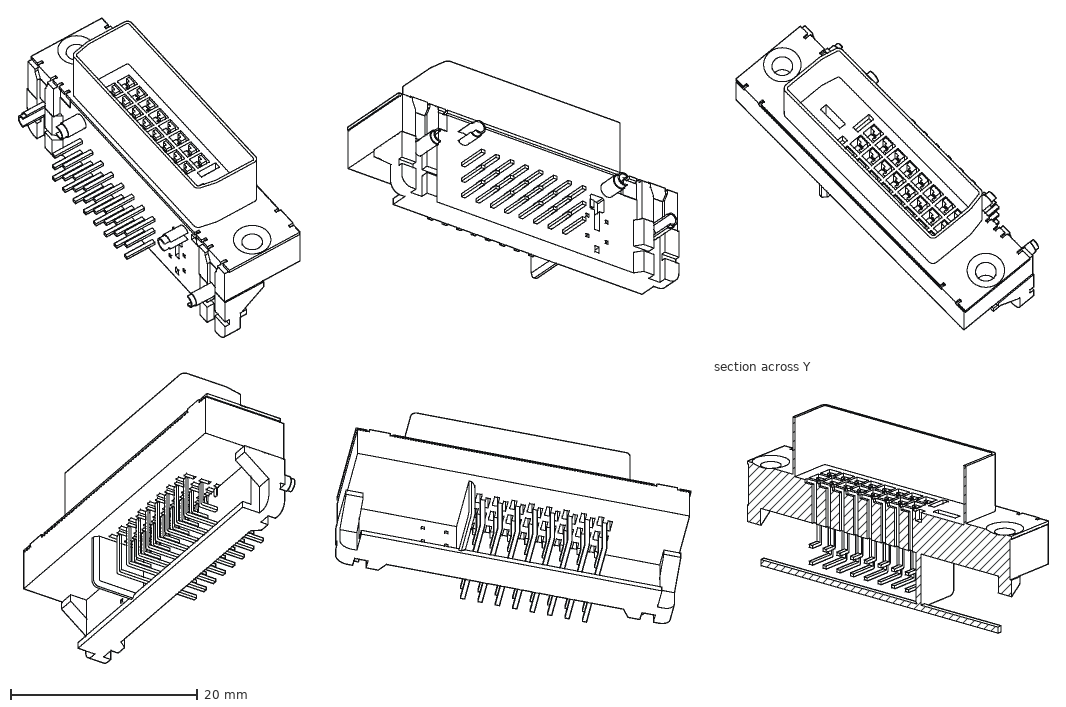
import cadquery as cq


TOTAL_LENGTH = 36.83
TOTAL_HEIGHT = 18.05
BACK_Y = 9.98
FACE_Y = 0.92
TIP_Y = -2.73
BLOCK_BOTTOM_Z = 6.52
BLOCK_TOP_Z = 11.15
BLOCK_LENGTH = 36.55
PLATE_THICKNESS = 0.35
PLATE_TOP_Z = BLOCK_TOP_Z + PLATE_THICKNESS
PLATE_FRONT_Y = 0.55
PLATE_BACK_Y = 9.87

WALL_BACK_Y = 3.1
FOOT_BACK_Y = 4.15
FOOT_HEIGHT = 0.75

HALF_LENGTH = TOTAL_LENGTH / 2
CHANNEL_X = 15.8
CHANNEL_WIDTH = 1.47
CHANNEL_OUTER_X = CHANNEL_X + CHANNEL_WIDTH / 2
CHANNEL_INNER_X = CHANNEL_X - CHANNEL_WIDTH / 2
UPPER_LEG_INNER_X = 13.5
LOWER_LEG_FRONT_X = 13.75
LOWER_LEG_ROOT_X = 13.05
LEG_CORNER_RADIUS = 1.3
LEG_DEPTH = 2.03
GUSSET_DEPTH = 5.1
GUSSET_TOP_Z = 5.7
GUSSET_FOOT_Z = 3.35
LEG_SLOT_Z = (2.55, 3.3)
LEG_SLOT_DEPTH = 0.55
UPPER_LEG_Y = 0.05
STRIP_Y = 0.4

TAB_Y = 0.45
TAB_THICKNESS = 0.33
TAB_WIDTH = 2.3
TAB_TAPER_Z = (9.72, 10.75)
RELIEF_WIDTH = 0.3
RELIEF_DEPTH = 0.6
RELIEF_OFFSET = (TAB_WIDTH + RELIEF_WIDTH) / 2
SIDE_TAB_X = (11.7, UPPER_LEG_INNER_X)
SIDE_TAB_RELIEF_X = (12.08, 13.37)
SIDE_TAB_BOTTOM_Z = 9.17
SIDE_TAB_SETBACK = 0.07
SIDE_POCKET_DEPTH = 0.45
NOTCH_X = 10.9
NOTCH_TOP_Z = 9.98

SHROUD_HALF_LENGTH = 12.08
SHROUD_HALF_LENGTH_FRONT = 11.55
SHROUD_Y = (1.05, 8.9)
SHROUD_TAPER_Y = 3.43
SHROUD_WALL = 0.33
SHROUD_FLOOR_Z = 11.3
SHROUD_CORNER_RADIUS = 0.6
SHROUD_BEND_RADIUS = 1.85

SCREW_X = 16.3
SCREW_Y = 5.05
SCREW_DIAMETER = 2.2
SCREW_SINK_DIAMETER = 4.0
SCREW_SINK_DEPTH = 0.35
SCREW_HOLE_DEPTH = 3.7

PITCH = 1.9
COLUMNS = 8
ROWS = 3
CENTRE_COLUMN = 5
FIRST_ROW_Y = 3.13
COLUMN_X = [PITCH * (column - CENTRE_COLUMN) for column in range(COLUMNS)]
ROW_Y = [FIRST_ROW_Y + PITCH * row for row in range(ROWS)]
CELL = 1.55
CONTACT_SETBACK = 0.35
CONTACT_LEFT_GAP = 0.48
CONTACT_RIGHT_GAP = 0.55
CONTACT_BACK_BAR = 0.33
CONTACT_FRONT_BAR = 0.45
CONTACT_SLIT = 0.22
CONTACT_SLIT_DEPTH = 0.35
WIRE_WIDTH = 0.48
WIRE_THICKNESS_Y = 0.25
WIRE_THICKNESS_Z = 0.35
WIRE_BEND_RADIUS = 0.22

PEG_DIAMETER = 1.73
PEG_BORE = 1.18
PEG_TIP_DIAMETER = 1.5
PEG_X = 9.58
PEG_Z = 9.05
PEG_STEP_Y = -1.35
PEG_TIP_Y = -2.05
PEG_MOUTH = 1.1
LOCK_X = 15.4
LOCK_Z = 5.75
LOCK_STEP_Y = -2.2
LOCK_OPEN_X = 15.3

BLADE_X = 8.2
BLADE_SLOT_LENGTH = 3.05
BLADE_SLOT_WIDTH = 0.8
BLADE_SLOT_DEPTH = 3.7
LATCH_X = (5.1, 5.82)
LATCH_SLOTS_Y = ((2.0, 4.27), (5.8, 8.18))
LATCH_DEPTH = 1.1
KEY_POCKET_DEPTH = 1.1
KEY_HEAD_WIDTH = 1.75
KEY_HEAD_Z = (6.05, 7.85)
KEY_HEAD_BEVEL = 0.15
KEY_STEM_WIDTH = 0.65
KEY_STEM_BOTTOM_Z = 3.65
KEY_TONGUE_WIDTH = 0.55
KEY_TONGUE_BOTTOM_Z = 6.95
KEY_TONGUE_DEPTH = 0.2
SMALL_HOLE = 0.35
SMALL_HOLE_OFFSET = 1.3
SMALL_HOLES_Z = (2.58, 5.1)
LOW_HOLE_WIDTH = 0.55
LOW_HOLE_HEIGHT = 0.75
LOW_HOLE_Z = 1.3

FIN_BACK_Y = 9.15
FIN_BOTTOM_Z = 0.4
FIN_CORNER_RADIUS = 0.65
FIN_BEVEL = 0.45


def block(x, y, z):
    """Box spanning the given (low, high) pairs."""
    size = (x[1] - x[0], y[1] - y[0], z[1] - z[0])
    return cq.Workplane("XY").box(*size, centered=False).translate((x[0], y[0], z[0]))


def centred(middle, width):
    """The (low, high) pair of a width about its middle."""
    return (middle - width / 2, middle + width / 2)


def front_prism(points, y):
    """Prism of an X-Z outline between two Y values."""
    prism = cq.Workplane("XZ", origin=(0, y[0], 0)).polyline(points).close()
    return prism.extrude(y[0] - y[1])


def rod(x, z, diameter, y):
    """Cylinder along Y between two Y values."""
    return cq.Workplane("XZ", origin=(x, y[0], z)).circle(diameter / 2).extrude(y[0] - y[1])


def both_sides(solid):
    """The solid together with its mirror image across X = 0."""
    return solid.union(solid.mirror("YZ"))


def make_housing():
    half = BLOCK_LENGTH / 2
    upper = block((-half, half), (FACE_Y, BACK_Y), (BLOCK_BOTTOM_Z, BLOCK_TOP_Z))
    wall_x = (-CHANNEL_OUTER_X, CHANNEL_OUTER_X)
    wall = block(wall_x, (FACE_Y, WALL_BACK_Y), (0, BLOCK_BOTTOM_Z))
    foot = block(wall_x, (FACE_Y, FOOT_BACK_Y), (0, FOOT_HEIGHT))
    return upper.union(wall).union(foot)


def make_right_legs():
    upper_z = (BLOCK_BOTTOM_Z, BLOCK_TOP_Z)
    upper_outer = block((CHANNEL_OUTER_X, BLOCK_LENGTH / 2), (UPPER_LEG_Y, FACE_Y), upper_z)
    upper_inner = block((UPPER_LEG_INNER_X, CHANNEL_INNER_X), (UPPER_LEG_Y, FACE_Y), upper_z)
    strip = block((CHANNEL_INNER_X, CHANNEL_OUTER_X), (STRIP_Y, FACE_Y), upper_z)
    lower_outer = (
        cq.Workplane("YZ", origin=(CHANNEL_OUTER_X, 0, 0))
        .polyline([
            (0, 0),
            (LEG_DEPTH, 0),
            (LEG_DEPTH, GUSSET_FOOT_Z),
            (GUSSET_DEPTH, GUSSET_TOP_Z),
            (GUSSET_DEPTH, BLOCK_BOTTOM_Z),
            (0, BLOCK_BOTTOM_Z),
        ])
        .close()
        .extrude(HALF_LENGTH - CHANNEL_OUTER_X)
        .edges("|Y and >X and <Z")
        .fillet(LEG_CORNER_RADIUS)
    )
    lower_inner = (
        cq.Workplane("XY")
        .polyline([
            (CHANNEL_INNER_X, 0),
            (LOWER_LEG_FRONT_X, 0),
            (LOWER_LEG_ROOT_X, FACE_Y),
            (CHANNEL_INNER_X, FACE_Y),
        ])
        .close()
        .extrude(BLOCK_BOTTOM_Z)
    )
    outer_slot = block((CHANNEL_OUTER_X, HALF_LENGTH), (0, LEG_SLOT_DEPTH), LEG_SLOT_Z)
    inner_slot = block((LOWER_LEG_ROOT_X, CHANNEL_INNER_X), (0, FACE_Y), LEG_SLOT_Z)
    upper = upper_outer.union(upper_inner).union(strip)
    return upper.union(lower_outer.cut(outer_slot)).union(lower_inner.cut(inner_slot))


def tab_outline(width, top_z):
    """Tapered tab outline that ends at the channel width."""
    low_z, shoulder_z = TAB_TAPER_Z
    return [
        (CHANNEL_OUTER_X, low_z),
        (CHANNEL_X + width / 2, shoulder_z),
        (CHANNEL_X + width / 2, top_z),
        (CHANNEL_X - width / 2, top_z),
        (CHANNEL_X - width / 2, shoulder_z),
        (CHANNEL_INNER_X, low_z),
    ]


def make_plate():
    level = (BLOCK_TOP_Z, PLATE_TOP_Z)
    plate = block((-HALF_LENGTH, HALF_LENGTH), (PLATE_FRONT_Y, PLATE_BACK_Y), level)
    relief_x = [CHANNEL_X - RELIEF_OFFSET, CHANNEL_X + RELIEF_OFFSET]
    front_edge = (PLATE_FRONT_Y, PLATE_FRONT_Y + RELIEF_DEPTH)
    back_edge = (BACK_Y - RELIEF_DEPTH, BACK_Y)
    for x in relief_x:
        for edge in (front_edge, back_edge):
            plate = plate.cut(both_sides(block(centred(x, RELIEF_WIDTH), edge, level)))
    for x in SIDE_TAB_RELIEF_X:
        plate = plate.cut(both_sides(block(centred(x, RELIEF_WIDTH), front_edge, level)))

    tab_y = (TAB_Y, TAB_Y + TAB_THICKNESS)
    front_tab = front_prism(tab_outline(TAB_WIDTH, PLATE_TOP_Z), tab_y)
    back_tab = block(centred(CHANNEL_X, TAB_WIDTH), (PLATE_BACK_Y - RELIEF_DEPTH, BACK_Y), level)
    return plate.union(both_sides(front_tab.union(back_tab)))


def make_tab_clearance():
    """Opening in each leg that the tapered front tab folds into."""
    return both_sides(front_prism(tab_outline(TAB_WIDTH, BLOCK_TOP_Z), (0, TAB_Y)))


def make_side_pockets():
    """Pockets behind the side tabs; the right one has a small notch beside it."""
    pocket_y = (FACE_Y, FACE_Y + SIDE_POCKET_DEPTH)
    tab_y = (FACE_Y, FACE_Y + SIDE_TAB_SETBACK)
    pockets = both_sides(block(SIDE_TAB_X, tab_y, (SIDE_TAB_BOTTOM_Z, BLOCK_TOP_Z)))
    notch = block((NOTCH_X, SIDE_TAB_X[0]), pocket_y, (SIDE_TAB_BOTTOM_Z, NOTCH_TOP_Z))
    return pockets.union(notch)


def shroud_prism(z, wall=0.0):
    """Shroud outline inset by a wall thickness, between two heights."""
    prism = (
        cq.Workplane("XY", origin=(0, 0, z[0]))
        .polyline([
            (-SHROUD_HALF_LENGTH, SHROUD_Y[1]),
            (-SHROUD_HALF_LENGTH, SHROUD_TAPER_Y),
            (-SHROUD_HALF_LENGTH_FRONT, SHROUD_Y[0]),
            (SHROUD_HALF_LENGTH_FRONT, SHROUD_Y[0]),
            (SHROUD_HALF_LENGTH, SHROUD_TAPER_Y),
            (SHROUD_HALF_LENGTH, SHROUD_Y[1]),
        ])
        .close()
        .extrude(z[1] - z[0])
    )
    corners = prism.edges("|Z and (>Y or <Y)").fillet(SHROUD_CORNER_RADIUS)
    bend_low_y, bend_high_y = centred(SHROUD_TAPER_Y, SHROUD_WALL)
    bends = cq.selectors.BoxSelector(
        (-HALF_LENGTH, bend_low_y, 0), (HALF_LENGTH, bend_high_y, TOTAL_HEIGHT)
    )
    outer = corners.edges("|Z").edges(bends).fillet(SHROUD_BEND_RADIUS)
    if wall == 0:
        return outer
    return outer.faces("<Z").wires().toPending().offset2D(-wall).extrude(z[1] - z[0], combine=False)


def make_screw_hole():
    radius = SCREW_DIAMETER / 2
    sink_radius = SCREW_SINK_DIAMETER / 2
    sink_bottom_z = PLATE_TOP_Z - SCREW_SINK_DEPTH
    bottom_z = PLATE_TOP_Z - SCREW_HOLE_DEPTH
    return (
        cq.Workplane("XZ")
        .polyline([
            (0, bottom_z),
            (radius, bottom_z),
            (radius, sink_bottom_z),
            (sink_radius, PLATE_TOP_Z),
            (0, PLATE_TOP_Z),
        ])
        .close()
        .revolve(360, (0, 0, 0), (0, 1, 0))
        .translate((SCREW_X, SCREW_Y, 0))
    )


def make_cell_gaps(x, y):
    """Empty space around one Z-shaped contact in its square cell."""
    left, right = centred(x, CELL)
    front, back = centred(y, CELL)
    stem_left = left + CONTACT_LEFT_GAP
    stem_right = right - CONTACT_RIGHT_GAP
    contact_top_z = SHROUD_FLOOR_Z - CONTACT_SETBACK
    depth = (BLOCK_BOTTOM_Z, SHROUD_FLOOR_Z)
    mouth = block((left, right), (front, back), (contact_top_z, SHROUD_FLOOR_Z))
    left_gap = block((left, stem_left), (front, back - CONTACT_BACK_BAR), depth)
    right_gap = block((stem_right, right), (front + CONTACT_FRONT_BAR, back), depth)
    slit_z = (contact_top_z - CONTACT_SLIT_DEPTH, contact_top_z)
    slit = block((stem_left, stem_right), centred(y, CONTACT_SLIT), slit_z)
    return mouth.union(left_gap).union(right_gap).union(slit)


def make_wire(x, row):
    """L-shaped contact tail: down from its cell, then forward through the wall."""
    y = ROW_Y[row]
    z = PITCH * (ROWS - row)
    back_y = y + WIRE_THICKNESS_Y / 2
    bottom_z = z - WIRE_THICKNESS_Z / 2
    outline = (
        cq.Workplane("YZ", origin=(x - WIRE_WIDTH / 2, 0, 0))
        .moveTo(TIP_Y, bottom_z)
        .lineTo(back_y - WIRE_BEND_RADIUS, bottom_z)
        .radiusArc((back_y, bottom_z + WIRE_BEND_RADIUS), -WIRE_BEND_RADIUS)
        .lineTo(back_y, BLOCK_BOTTOM_Z)
        .lineTo(back_y - WIRE_THICKNESS_Y, BLOCK_BOTTOM_Z)
        .lineTo(back_y - WIRE_THICKNESS_Y, bottom_z + WIRE_THICKNESS_Z)
        .lineTo(TIP_Y, bottom_z + WIRE_THICKNESS_Z)
        .close()
    )
    return outline.extrude(WIRE_WIDTH)


def make_stepped_pipe(x, z, step_y, tip_y):
    pipe = rod(x, z, PEG_DIAMETER, (step_y, FACE_Y))
    tip = rod(x, z, PEG_TIP_DIAMETER, (tip_y, step_y))
    return pipe.union(tip).cut(rod(x, z, PEG_BORE, (tip_y, FACE_Y)))


def make_right_pegs():
    locating = make_stepped_pipe(PEG_X, PEG_Z, PEG_STEP_Y, PEG_TIP_Y)
    mouth = block((PEG_X, PEG_X + PEG_DIAMETER), (PEG_TIP_Y, FACE_Y), centred(PEG_Z, PEG_MOUTH))
    board_lock = make_stepped_pipe(LOCK_X, LOCK_Z, LOCK_STEP_Y, TIP_Y)
    open_half = block(
        (LOCK_OPEN_X - PEG_DIAMETER, LOCK_OPEN_X), (TIP_Y, FACE_Y), centred(LOCK_Z, PEG_DIAMETER)
    )
    return locating.cut(mouth).union(board_lock.cut(open_half))


def make_blade_cuts():
    slot_z = (SHROUD_FLOOR_Z - BLADE_SLOT_DEPTH, SHROUD_FLOOR_Z)
    cuts = block(centred(BLADE_X, BLADE_SLOT_LENGTH), centred(SCREW_Y, BLADE_SLOT_WIDTH), slot_z)
    for slot_y in LATCH_SLOTS_Y:
        latch_z = (SHROUD_FLOOR_Z - LATCH_DEPTH, SHROUD_FLOOR_Z)
        cuts = cuts.union(block(LATCH_X, slot_y, latch_z))

    pocket_y = (FACE_Y, FACE_Y + KEY_POCKET_DEPTH)
    head = block(centred(BLADE_X, KEY_HEAD_WIDTH), pocket_y, KEY_HEAD_Z)
    head = head.edges("|Y").chamfer(KEY_HEAD_BEVEL)
    stem = block(centred(BLADE_X, KEY_STEM_WIDTH), pocket_y, (KEY_STEM_BOTTOM_Z, KEY_HEAD_Z[1]))
    tongue_y = (pocket_y[1] - KEY_TONGUE_DEPTH, pocket_y[1])
    tongue_z = (KEY_TONGUE_BOTTOM_Z, KEY_HEAD_Z[1])
    tongue = block(centred(BLADE_X, KEY_TONGUE_WIDTH), tongue_y, tongue_z)
    cuts = cuts.union(head.union(stem).cut(tongue))

    through = (FACE_Y, WALL_BACK_Y)
    for x in (BLADE_X - SMALL_HOLE_OFFSET, BLADE_X + SMALL_HOLE_OFFSET):
        for z in SMALL_HOLES_Z:
            cuts = cuts.union(block(centred(x, SMALL_HOLE), through, centred(z, SMALL_HOLE)))
    low_hole = block(
        centred(BLADE_X, LOW_HOLE_WIDTH), through, centred(LOW_HOLE_Z, LOW_HOLE_HEIGHT)
    )
    return cuts.union(low_hole)


def make_rear_fin():
    """Upright fin behind the wall, bevelled along its back and bottom edges."""
    fin = block(LATCH_X, (WALL_BACK_Y, FIN_BACK_Y), (FIN_BOTTOM_Z, BLOCK_BOTTOM_Z))
    fin = fin.edges("|X and >Y and <Z").fillet(FIN_CORNER_RADIUS)
    return fin.faces("<X").edges("not(<Y or >Z)").chamfer(FIN_BEVEL)


body = make_housing().union(both_sides(make_right_legs()))
body = body.cut(make_tab_clearance()).cut(make_side_pockets())
body = body.union(make_plate()).union(make_rear_fin())

body = body.union(shroud_prism((BLOCK_TOP_Z, TOTAL_HEIGHT)))
body = body.cut(shroud_prism((SHROUD_FLOOR_Z, TOTAL_HEIGHT), SHROUD_WALL))
body = body.cut(both_sides(make_screw_hole())).cut(make_blade_cuts())

cell_gaps = []
wires = []
for column_x in COLUMN_X:
    for row_index, row_y in enumerate(ROW_Y):
        cell_gaps.append(make_cell_gaps(column_x, row_y).val())
        wires.append(make_wire(column_x, row_index).val())
body = body.cut(cq.Workplane(cq.Compound.makeCompound(cell_gaps)))
body = body.union(cq.Workplane(cq.Compound.makeCompound(wires)))

result = body.union(both_sides(make_right_pegs()))